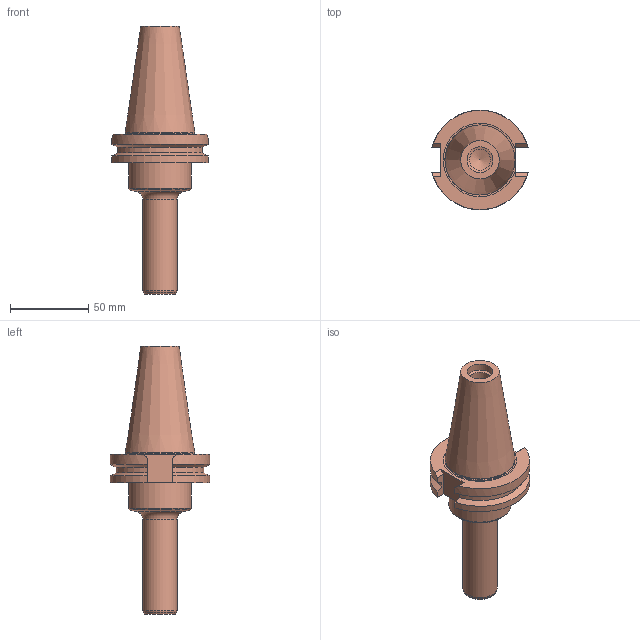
import cadquery as cq
import math


gauge_diameter = 44.45
taper_ratio = 7 / 24
taper_length = 68.25
taper_top_diameter = gauge_diameter - taper_ratio * taper_length

relief_diameter = 43.85
relief_top_z = -0.3
relief_rim_diameter = 47.0
relief_fillet = 0.5
relief_depth = 0.1

flange_diameter = 63.5
flange_top_z = -1.0
flange_bottom_z = -19.05
groove_center_z = -11.1
groove_floor_diameter = 56.1
groove_floor_width = 3.6
groove_mouth_width = 7.3

slot_width = 16.2
slot_chamfer = 2.5
left_slot_floor_x = -25.0
right_slot_floor_x = 22.4

collar_diameter = 40.0
collar_bottom_z = -37.3
collar_chamfer_height = 1.0
collar_chamfer_inset = 0.6
collar_underside_rise = 0.8

pin_diameter = 22.0
pin_length_below_gauge = 103.0
pin_fillet = 5.0
pin_lead_height = 1.0
pin_lead_inset = 0.3
pin_chamfer_height = 1.0
pin_chamfer_inset = 0.5

counterbore_diameter = 16.48
counterbore_depth = 4.8
bore_diameter = 13.5
bore_depth = 30.0
step_half_angle = 70
drill_half_angle = 70

arc_inset_ratio = 1 - math.sqrt(0.5)


def turned_body():
    """Revolve the outer profile, without the bore, around the Z axis."""
    flange_radius = flange_diameter / 2
    groove_floor_radius = groove_floor_diameter / 2
    half_floor = groove_floor_width / 2
    half_mouth = groove_mouth_width / 2
    collar_radius = collar_diameter / 2
    collar_edge_z = collar_bottom_z + collar_underside_rise
    pin_radius = pin_diameter / 2
    pin_bottom_z = -pin_length_below_gauge
    fillet_bottom_z = collar_bottom_z - pin_fillet
    fillet_inset = pin_fillet * arc_inset_ratio
    relief_radius = relief_diameter / 2
    relief_bottom_z = flange_top_z - relief_depth
    relief_inset = relief_fillet * arc_inset_ratio

    profile = (
        cq.Workplane("XZ")
        .moveTo(0, taper_length)
        .lineTo(taper_top_diameter / 2, taper_length)
        .lineTo(gauge_diameter / 2, 0)
        .lineTo(relief_radius, relief_top_z)
        .lineTo(relief_radius, relief_bottom_z + relief_fillet)
        .threePointArc(
            (relief_radius + relief_inset, relief_bottom_z + relief_inset),
            (relief_radius + relief_fillet, relief_bottom_z),
        )
        .lineTo(relief_rim_diameter / 2, flange_top_z)
        .lineTo(flange_radius, flange_top_z)
        .lineTo(flange_radius, groove_center_z + half_mouth)
        .lineTo(groove_floor_radius, groove_center_z + half_floor)
        .lineTo(groove_floor_radius, groove_center_z - half_floor)
        .lineTo(flange_radius, groove_center_z - half_mouth)
        .lineTo(flange_radius, flange_bottom_z)
        .lineTo(collar_radius, flange_bottom_z)
        .lineTo(collar_radius, collar_edge_z + collar_chamfer_height)
        .lineTo(collar_radius - collar_chamfer_inset, collar_edge_z)
        .lineTo(pin_radius + pin_fillet, collar_bottom_z)
        .threePointArc(
            (pin_radius + fillet_inset, collar_bottom_z - fillet_inset),
            (pin_radius, fillet_bottom_z),
        )
        .lineTo(pin_radius, pin_bottom_z + pin_chamfer_height + pin_lead_height)
        .lineTo(pin_radius - pin_lead_inset, pin_bottom_z + pin_chamfer_height)
        .lineTo(pin_radius - pin_lead_inset - pin_chamfer_inset, pin_bottom_z)
        .lineTo(0, pin_bottom_z)
        .close()
    )
    return profile.revolve(360, (0, 0, 0), (0, 1, 0))


def bore():
    """Counterbore, conical step and drilled hole with a conical end."""
    counterbore_radius = counterbore_diameter / 2
    bore_radius = bore_diameter / 2
    step_z = taper_length - counterbore_depth
    step_height = (counterbore_radius - bore_radius) / math.tan(math.radians(step_half_angle))
    bore_end_z = taper_length - bore_depth
    drill_tip_height = bore_radius / math.tan(math.radians(drill_half_angle))
    profile = (
        cq.Workplane("XZ")
        .moveTo(0, taper_length)
        .lineTo(counterbore_radius, taper_length)
        .lineTo(counterbore_radius, step_z)
        .lineTo(bore_radius, step_z - step_height)
        .lineTo(bore_radius, bore_end_z)
        .lineTo(0, bore_end_z - drill_tip_height)
        .close()
    )
    return profile.revolve(360, (0, 0, 0), (0, 1, 0))


def drive_slot(floor_x):
    """Slot cutter from floor_x outwards, with chamfered upper edges."""
    outward = math.copysign(1, floor_x)
    half_width = slot_width / 2
    slot_length = flange_diameter / 2
    profile = (
        cq.Workplane("YZ", origin=(floor_x, 0, 0))
        .moveTo(-half_width, flange_bottom_z)
        .lineTo(half_width, flange_bottom_z)
        .lineTo(half_width, flange_top_z - slot_chamfer)
        .lineTo(half_width + slot_chamfer, flange_top_z)
        .lineTo(-half_width - slot_chamfer, flange_top_z)
        .lineTo(-half_width, flange_top_z - slot_chamfer)
        .close()
    )
    return profile.extrude(outward * slot_length)


result = turned_body().cut(bore())
for slot_floor_x in (left_slot_floor_x, right_slot_floor_x):
    result = result.cut(drive_slot(slot_floor_x))